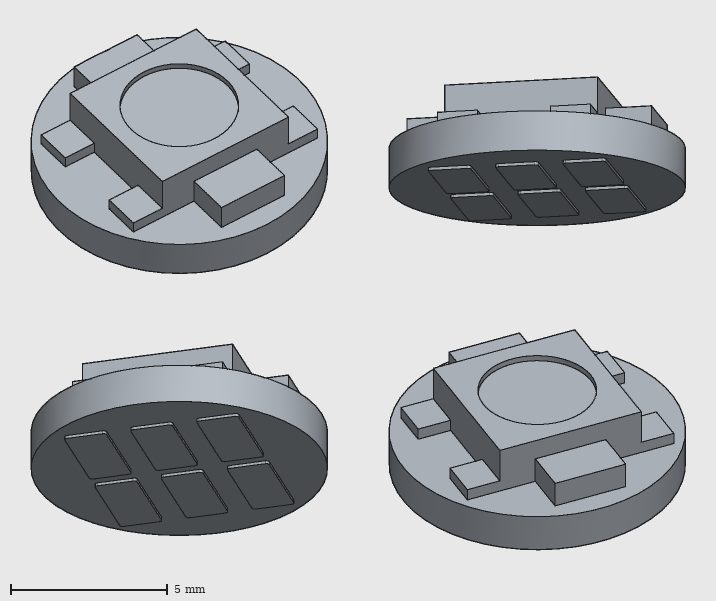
import cadquery as cq

board_diameter = 9.5
board_thickness = 1.3

body_side = 5.01
body_height = 1.6
recess_diameter = 3.8
recess_depth = 0.2

block_span = 8.0
block_width = 2.5
block_height = 0.88

tab_span = 7.31
tab_width = 1.31
tab_height = 0.4

pad_width = 1.4
pad_length = 3.0
pad_thickness = 0.1
pad_corner_radius = 0.1
pad_columns = 3
pad_rows = 2
pad_column_pitch = 2.2
pad_row_pitch = 3.5


def box_on_board(length, width, height):
    """Centred box standing on the top of the board."""
    return (
        cq.Workplane("XY")
        .workplane(offset=board_thickness)
        .box(length, width, height, centered=(True, True, False))
    )


def make_body():
    body = box_on_board(body_side, body_side, body_height)
    return body.faces(">Z").workplane().hole(recess_diameter, recess_depth)


def make_side_blocks():
    bar = box_on_board(block_span, block_width, block_height)
    return bar.cut(box_on_board(body_side, body_side, body_height))


def make_corner_tabs():
    tab_length = (tab_span - body_side) / 2
    tab_x = (body_side - tab_width) / 2
    tab_y = (body_side + tab_length) / 2
    tab = box_on_board(tab_width, tab_length, tab_height)
    tabs = cq.Workplane("XY")
    for side_x in (-1, 1):
        for side_y in (-1, 1):
            tabs = tabs.add(tab.translate((side_x * tab_x, side_y * tab_y, 0)))
    return tabs.combine()


def make_pads():
    return (
        cq.Workplane("XY")
        .rarray(pad_column_pitch, pad_row_pitch, pad_columns, pad_rows)
        .rect(pad_width, pad_length)
        .extrude(-pad_thickness)
        .edges("|Z")
        .fillet(pad_corner_radius)
    )


board = cq.Workplane("XY").circle(board_diameter / 2).extrude(board_thickness)

result = (
    board
    .union(make_body())
    .union(make_side_blocks())
    .union(make_corner_tabs())
    .union(make_pads())
)